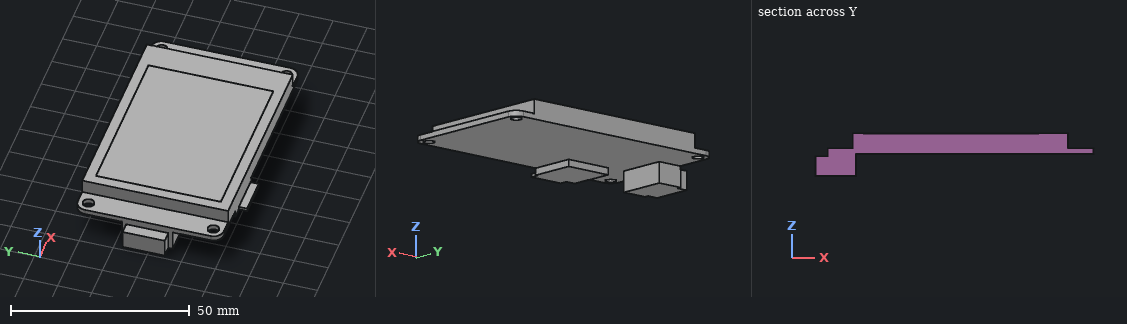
import cadquery as cq

board_length = 74.6
board_width = 42.9
board_thickness = 1.6
corner_radius = 3.0
hole_diameter = 3.2
hole_inset = 3.1

display_start = 7.0
display_length = 60.4
display_height = 4.2
screen_start = 10.15
screen_length = 49.0
screen_width = 36.65
screen_depth = 0.1

housing_length = 8.0
housing_width = 15.0
housing_height = 6.2
housing_front = 14.05
plug_overhang = 3.4
plug_width = 12.4
plug_height = 5.6

socket_start = 13.9
socket_length = 14.8
socket_width = 14.05
socket_height = 2.0
card_offset = 3.1
card_length = 11.0
card_overhang = 2.4
card_thickness = 1.0


def box(length, width, height, corner):
    """Box whose lowest X, Y and Z corner is at the given point."""
    return cq.Workplane("XY").box(length, width, height, centered=False).translate(corner)


def make_board():
    """Rounded board with a mounting hole near each corner."""
    board = box(board_length, board_width, board_thickness, (0, 0, 0))
    board = board.edges("|Z").fillet(corner_radius)
    holes = (
        cq.Workplane("XY")
        .center(board_length / 2, board_width / 2)
        .rect(board_length - 2 * hole_inset, board_width - 2 * hole_inset, forConstruction=True)
        .vertices()
        .circle(hole_diameter / 2)
        .extrude(board_thickness)
    )
    return board.cut(holes)


def make_display():
    """Display block with the screen area sunk very slightly into its top face."""
    block = box(display_length, board_width, display_height, (display_start, 0, board_thickness))
    screen_front = (board_width - screen_width) / 2
    screen_floor = board_thickness + display_height - screen_depth
    screen = box(screen_length, screen_width, screen_depth, (screen_start, screen_front, screen_floor))
    return block.cut(screen)


def make_connector():
    """Housing with the plug centred on its width and level with its underside."""
    housing = box(housing_length, housing_width, housing_height, (0, housing_front, -housing_height))
    plug_front = housing_front + (housing_width - plug_width) / 2
    plug = box(plug_overhang, plug_width, plug_height, (-plug_overhang, plug_front, -housing_height))
    return housing.union(plug)


def make_card_socket():
    """Socket with the card set off to the right and level with its underside."""
    socket = box(socket_length, socket_width, socket_height, (socket_start, 0, -socket_height))
    card_start = socket_start + card_offset
    card = box(card_length, card_overhang, card_thickness, (card_start, -card_overhang, -socket_height))
    return socket.union(card)


result = make_board().union(make_display()).union(make_connector()).union(make_card_socket())